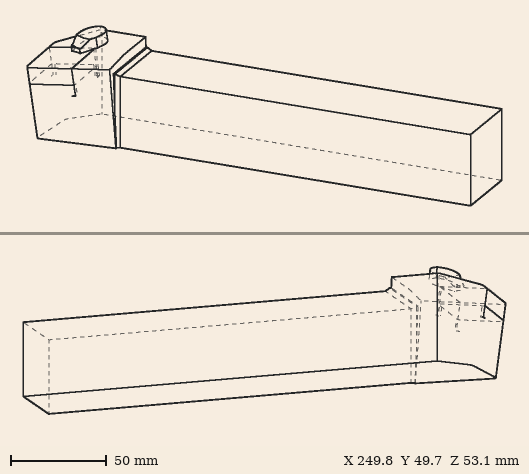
import cadquery as cq
import math

total_length = 249.8
shank_size = 40.0
shank_start = 49.7

head_height = 47.2
head_end_top = 46.2
head_end_bottom = 48.0
margin = 25.0

collar_start = 45.0
taper_start = 47.2
collar_rise = 1.5

tilt_angle = 8.0
ridge_sum = 58.5

apex_x = -0.5
apex_y = -10.2
side_angle = 5.0
nose_radius = 2.0
insert_side = 25.7
insert_thickness = 9.5
shim_thickness = 6.2

back_face_offset = 19.0
back_blend_radius = 5.5

clamp_height = 6.0
clamp_nose_height = 2.5
clamp_slope_length = 5.5
clamp_nose_left = (16.2, 12.5)
clamp_nose_middle = (19.7, 11.5)
clamp_nose_right = (22.0, 10.2)
clamp_right_front = (28.5, 18.0)
clamp_right_back = (29.5, 20.5)
clamp_right_bulge = (30.5, 26.5)
clamp_back = (24.7, 31.5)
clamp_left_bulge = (19.7, 28.7)
clamp_left_back = (17.0, 23.2)
clamp_left_front = (16.5, 21.2)

side_cos = math.cos(math.radians(side_angle))
side_sin = math.sin(math.radians(side_angle))


def tilt(body):
    """Tilt a body built level with the head top about the ridge line."""
    ridge_start = (ridge_sum, 0, head_height)
    ridge_end = (0, ridge_sum, head_height)
    return body.rotate(ridge_end, ridge_start, tilt_angle)


def rhombus(side, top, thickness):
    """Level rhombus prism with its sharp apex at the cutting nose."""
    along, across = side * side_cos, side * side_sin
    return (
        cq.Workplane("XY", origin=(apex_x, apex_y, top - thickness))
        .polyline([(0, 0), (along, across), (along + across, along + across), (across, along)])
        .close()
        .extrude(thickness)
    )


def make_insert_plate(top, thickness):
    return rhombus(insert_side, top, thickness).edges("|Z").fillet(nose_radius)


def make_head():
    rise = (apex_x + back_face_offset - apex_y) / (1 - side_sin / side_cos)
    left_corner = (apex_x + rise * side_sin / side_cos, apex_y + rise)
    right_x = head_end_bottom + margin
    front_right = (right_x, apex_y + (right_x - apex_x) * side_sin / side_cos)
    back_y = shank_size + margin
    depth = head_height + margin
    block = (
        cq.Workplane("XY", origin=(0, 0, -margin))
        .polyline([
            (apex_x, apex_y),
            front_right,
            (right_x, back_y),
            (back_y - back_face_offset, back_y),
            left_corner,
        ])
        .close()
        .extrude(depth)
    )
    block = block.edges(cq.selectors.NearestToPointSelector((apex_x, apex_y, 0))).fillet(nose_radius)
    block = block.edges(cq.selectors.NearestToPointSelector((*left_corner, 0))).fillet(back_blend_radius)
    envelope = (
        cq.Workplane("XZ", origin=(0, shank_size, 0))
        .polyline([
            (-margin, 0),
            (head_end_bottom, 0),
            (head_end_top, head_height),
            (-margin, head_height),
        ])
        .close()
        .extrude(shank_size + margin)
    )
    return tilt(block).intersect(envelope)


def make_collar():
    wide = shank_size + collar_rise
    straight = cq.Workplane("XY", origin=(collar_start, -collar_rise, 0)).box(
        taper_start - collar_start, wide, wide, centered=False
    )
    taper = (
        cq.Workplane("YZ", origin=(taper_start, shank_size, 0))
        .center(-wide / 2, wide / 2)
        .rect(wide, wide)
        .workplane(offset=shank_start - taper_start)
        .center(collar_rise / 2, -collar_rise / 2)
        .rect(shank_size, shank_size)
        .loft(ruled=True)
    )
    return straight.union(taper)


def make_shank():
    length = total_length - shank_start
    return cq.Workplane("XY", origin=(shank_start, 0, 0)).box(
        length, shank_size, shank_size, centered=False
    )


def make_nose_wedge(edge_start, edge_end):
    """Material above the slope that rises from one nose edge to the clamp top."""
    edge_x = edge_end[0] - edge_start[0]
    edge_y = edge_end[1] - edge_start[1]
    nose_plane = cq.Plane(
        origin=(*edge_start, head_height),
        xDir=(-edge_y, edge_x, 0),
        normal=(edge_x, edge_y, 0),
    )
    return (
        cq.Workplane(nose_plane)
        .polyline([(0, clamp_nose_height), (clamp_slope_length, clamp_height), (0, clamp_height)])
        .close()
        .extrude(margin, both=True)
    )


def make_clamp():
    body = (
        cq.Workplane("XY", origin=(0, 0, head_height))
        .moveTo(*clamp_nose_left)
        .lineTo(*clamp_nose_middle)
        .lineTo(*clamp_nose_right)
        .lineTo(*clamp_right_front)
        .lineTo(*clamp_right_back)
        .threePointArc(clamp_right_bulge, clamp_back)
        .threePointArc(clamp_left_bulge, clamp_left_back)
        .lineTo(*clamp_left_front)
        .close()
        .extrude(clamp_height)
    )
    left_wedge = make_nose_wedge(clamp_nose_left, clamp_nose_middle)
    right_wedge = make_nose_wedge(clamp_nose_middle, clamp_nose_right)
    return body.cut(left_wedge).cut(right_wedge)


def make_holder():
    pocket_depth = insert_thickness + shim_thickness
    pocket = rhombus(insert_side, head_height, pocket_depth)
    shim = make_insert_plate(head_height - insert_thickness, shim_thickness)
    head = make_head().cut(tilt(pocket)).union(tilt(shim), clean=False)
    return (
        head.union(make_collar(), clean=False)
        .union(make_shank(), clean=False)
        .union(tilt(make_clamp()), clean=False)
    )


holder = make_holder()
insert = tilt(make_insert_plate(head_height, insert_thickness))

result = cq.Compound.makeCompound([*holder.vals(), insert.val()])